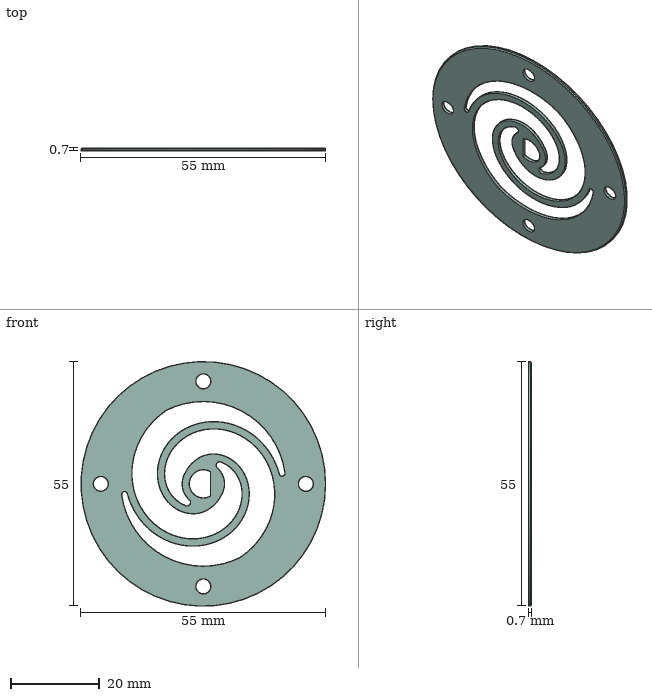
import cadquery as cq
import math

disc_diameter = 55.0
thickness = 0.7
rim_chamfer = 0.3

hole_count = 4
hole_diameter = 3.3
hole_circle_radius = 23.05

bore_radius = 3.15
bore_flat_offset = 1.6

slot_count = 2
rim_radius = 18.5
hub_radius = 4.8
spiral_pitch = 14.95
slot_width = 5.8
rim_exit_angle = 116.7
outer_tip_angle = 7.6
inner_tip_angle = 408.5
spiral_steps = 40

blend_hub_angle = 327.0
blend_middle_angle = 302.0
blend_middle_radius = 5.2
blend_spiral_angle = 283.0


def polar(radius, angle):
    """Point at a radius and an angle in degrees."""
    return (radius * math.cos(math.radians(angle)), radius * math.sin(math.radians(angle)))


def outer_spiral_radius(angle):
    return rim_radius - spiral_pitch * (angle - rim_exit_angle) / 360


def inner_spiral_radius(angle):
    return outer_spiral_radius(angle) - slot_width


def rim_arc(sketch, start, end):
    """Add the rim circle's arc between two angles."""
    return sketch.threePointArc(polar(rim_radius, (start + end) / 2), polar(rim_radius, end))


def hub_arc(sketch, start, end):
    """Add the hub circle's arc between two angles."""
    return sketch.threePointArc(polar(hub_radius, (start + end) / 2), polar(hub_radius, end))


def spiral(sketch, radius_at, start, end):
    """Add an Archimedean spiral from the current point, between two angles."""
    step = (end - start) / spiral_steps
    angles = [start + step * (index + 1) for index in range(spiral_steps)]
    return sketch.spline([polar(radius_at(angle), angle) for angle in angles], includeCurrent=True)


def round_tip(sketch, start_radius, end_radius, angle, direction):
    """Close a slot end by a half circle bulging along +1 / -1 in angle."""
    middle = polar((start_radius + end_radius) / 2, angle)
    bulge = polar(abs(start_radius - end_radius) / 2, angle + 90 * direction)
    crest = (middle[0] + bulge[0], middle[1] + bulge[1])
    return sketch.threePointArc(crest, polar(end_radius, angle))


def make_slot():
    sketch = cq.Workplane("XZ", origin=(0, thickness / 2, 0))
    sketch = sketch.moveTo(*polar(rim_radius, outer_tip_angle))
    sketch = rim_arc(sketch, outer_tip_angle, rim_exit_angle)
    sketch = spiral(sketch, outer_spiral_radius, rim_exit_angle, inner_tip_angle)
    sketch = round_tip(sketch, outer_spiral_radius(inner_tip_angle), hub_radius, inner_tip_angle, 1)
    sketch = hub_arc(sketch, inner_tip_angle, blend_hub_angle)
    sketch = sketch.threePointArc(
        polar(blend_middle_radius, blend_middle_angle),
        polar(inner_spiral_radius(blend_spiral_angle), blend_spiral_angle),
    )
    sketch = spiral(sketch, inner_spiral_radius, blend_spiral_angle, outer_tip_angle)
    sketch = round_tip(sketch, inner_spiral_radius(outer_tip_angle), rim_radius, outer_tip_angle, -1)
    return sketch.close().extrude(thickness)


def make_bore():
    flat_half = math.sqrt(bore_radius**2 - bore_flat_offset**2)
    return (
        cq.Workplane("XZ", origin=(0, thickness / 2, 0))
        .moveTo(bore_flat_offset, -flat_half)
        .lineTo(bore_flat_offset, flat_half)
        .threePointArc((-bore_radius, 0), (bore_flat_offset, -flat_half))
        .close()
        .extrude(thickness)
    )


disc = (
    cq.Workplane("XZ", origin=(0, thickness / 2, 0))
    .circle(disc_diameter / 2)
    .extrude(thickness)
    .faces(">Y")
    .edges()
    .chamfer(rim_chamfer)
)
mounting_holes = (
    cq.Workplane("XZ", origin=(0, thickness / 2, 0))
    .polarArray(hole_circle_radius, 0, 360, hole_count)
    .circle(hole_diameter / 2)
    .extrude(thickness)
)

result = disc.cut(mounting_holes).cut(make_bore())
slot = make_slot()
for index in range(slot_count):
    result = result.cut(slot.rotate((0, 0, 0), (0, 1, 0), index * 360 / slot_count))